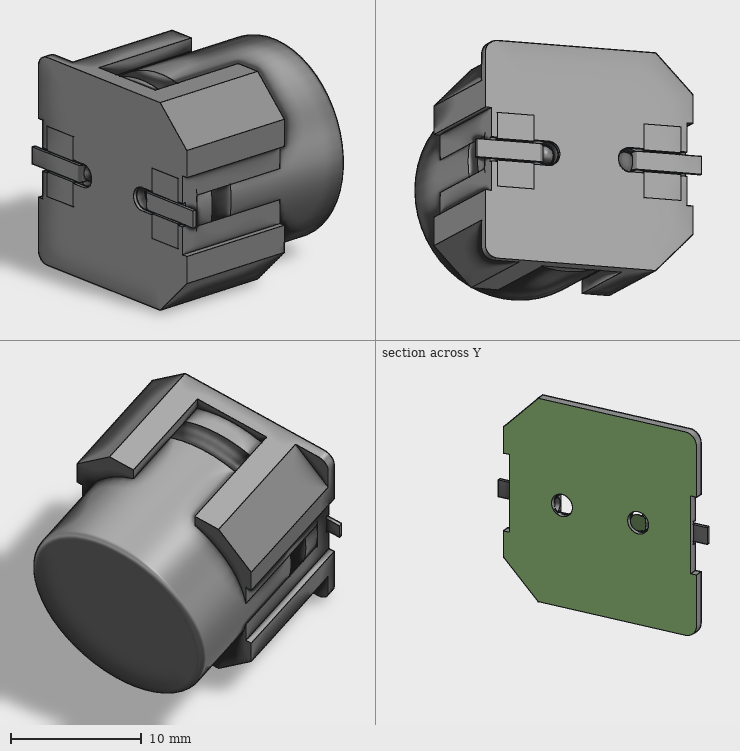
import cadquery as cq


BASE_WIDTH = 17.0
HALF_BASE = BASE_WIDTH / 2
PLATE_THICKNESS = 0.8
CORNER_RADIUS = 1.0
CORNER_CHAMFER = 3.05
FLOOR_Y = 1.5
LOW_ARM_TOP = 10.0
TALL_ARM_TOP = 11.0
WINDOW_WIDTH = 6.45
SIDE_NOTCH_DEPTH = 0.5

CAN_RADIUS = 8.0
CAN_TOP = 16.8
CAN_EDGE_RADIUS = 0.5
GROOVE_Y = 4.025
GROOVE_RADIUS = 0.975
BORE_RADIUS = 8.1

LEAD_TIP_X = 9.2
LEAD_WIDTH = 1.4
LEAD_THICKNESS = 0.3
LEAD_END_X = 3.7
BALL_X = 3.35
BALL_RADIUS = 0.8
BALL_Y = 1.1
BALL_HOLE_RADIUS = 0.9

CHANNEL_WIDTH = 1.9
PAD_INNER_X = 4.5
PAD_LENGTH = 3.0
PAD_WIDTH = 5.75
PAD_THICKNESS = 0.5
PAD_CHANNEL_WIDTH = 1.7

SIDES = (-1, 1)


def block(x_range, y_range, z_range):
    """Box between the given limits on each axis."""
    (x0, x1), (y0, y1), (z0, z1) = sorted(x_range), y_range, z_range
    return cq.Workplane("XY").box(x1 - x0, y1 - y0, z1 - z0, centered=False).translate((x0, y0, z0))


def centred(width):
    """Limits of a width centred on zero."""
    return (-width / 2, width / 2)


def rod(x, radius, y_start, y_end):
    """Cylinder along Y standing at the given x."""
    axis_start = cq.Vector(x, y_start, 0)
    return cq.Workplane(cq.Solid.makeCylinder(radius, y_end - y_start, axis_start, cq.Vector(0, 1, 0)))


def make_base():
    across = (-HALF_BASE, HALF_BASE)

    plate = block(across, (0, PLATE_THICKNESS), across)
    plate = plate.edges("|Y and <X").fillet(CORNER_RADIUS)
    plate = plate.edges("|Y and >X").chamfer(CORNER_CHAMFER)

    low_arms = block(across, (PLATE_THICKNESS, LOW_ARM_TOP), across)
    low_arms = low_arms.edges("|Y").chamfer(CORNER_CHAMFER)
    tall_arms = block((-HALF_BASE, 0), (PLATE_THICKNESS, TALL_ARM_TOP), across)
    tall_arms = tall_arms.edges("|Y and <X").chamfer(CORNER_CHAMFER)
    base = plate.union(low_arms).union(tall_arms)

    base = base.cut(rod(0, BORE_RADIUS, FLOOR_Y, TALL_ARM_TOP))
    base = base.cut(block(centred(WINDOW_WIDTH), (FLOOR_Y, TALL_ARM_TOP), across))

    for side in SIDES:
        notch_x = (side * HALF_BASE, side * (HALF_BASE - SIDE_NOTCH_DEPTH))
        base = base.cut(block(notch_x, (0, TALL_ARM_TOP), centred(WINDOW_WIDTH)))
        base = base.cut(make_channel(side))
        base = base.cut(pad_blank(side))
        base = base.cut(rod(side * BALL_X, BALL_HOLE_RADIUS, 0, BALL_Y))
    return base


def make_channel(side):
    """Round-ended groove in the underside that the lead lies in."""
    half_width = CHANNEL_WIDTH / 2
    centre_x = side * BALL_X
    open_x = side * HALF_BASE
    outline = (
        cq.Workplane("XZ")
        .moveTo(open_x, half_width)
        .lineTo(centre_x, half_width)
        .threePointArc((centre_x - side * half_width, 0), (centre_x, -half_width))
        .lineTo(open_x, -half_width)
        .close()
    )
    return outline.extrude(-LEAD_THICKNESS)


def make_can():
    """Round can with a rounded top edge and a crimp groove, turned about the Y axis."""
    edge_y = CAN_TOP - CAN_EDGE_RADIUS
    edge_x = CAN_RADIUS - CAN_EDGE_RADIUS
    half_section = (
        cq.Workplane("XY")
        .moveTo(0, FLOOR_Y)
        .lineTo(-CAN_RADIUS, FLOOR_Y)
        .lineTo(-CAN_RADIUS, GROOVE_Y - GROOVE_RADIUS)
        .radiusArc((GROOVE_RADIUS - CAN_RADIUS, GROOVE_Y), -GROOVE_RADIUS)
        .radiusArc((-CAN_RADIUS, GROOVE_Y + GROOVE_RADIUS), -GROOVE_RADIUS)
        .lineTo(-CAN_RADIUS, edge_y)
        .radiusArc((-edge_x, CAN_TOP), CAN_EDGE_RADIUS)
        .lineTo(0, CAN_TOP)
        .close()
    )
    return half_section.revolve(360, (0, 0), (0, 1))


def make_lead(side):
    """Flat strip turned up at its inner end, with a ball on the turned-up leg."""
    end_x = side * LEAD_END_X
    leg_back_x = side * (LEAD_END_X + LEAD_THICKNESS)
    tip_x = side * LEAD_TIP_X
    strip = (
        cq.Workplane("XY")
        .moveTo(tip_x, 0)
        .lineTo(leg_back_x, 0)
        .radiusArc((end_x, LEAD_THICKNESS), side * LEAD_THICKNESS)
        .lineTo(tip_x, LEAD_THICKNESS)
        .close()
        .extrude(LEAD_WIDTH / 2, both=True)
    )
    envelope = rod(side * BALL_X, BALL_RADIUS, 0, BALL_Y)
    ball = cq.Workplane("XY").sphere(BALL_RADIUS).translate((side * BALL_X, BALL_Y, 0))
    leg = block((end_x, leg_back_x), (LEAD_THICKNESS, BALL_Y), centred(LEAD_WIDTH))
    return strip.union(ball.union(leg).intersect(envelope))


def pad_blank(side):
    """Solid block filling the pad's recess."""
    pad_x = (side * PAD_INNER_X, side * (PAD_INNER_X + PAD_LENGTH))
    return block(pad_x, (0, PAD_THICKNESS), centred(PAD_WIDTH))


def make_pad(side):
    """Solder pad grooved along X for its lead."""
    groove = block((0, side * HALF_BASE), (0, LEAD_THICKNESS), centred(PAD_CHANNEL_WIDTH))
    return pad_blank(side).cut(groove)


base = make_base()
can = make_can()
leads = [make_lead(side) for side in SIDES]
pads = [make_pad(side) for side in SIDES]

result = cq.Compound.makeCompound(
    [base.val(), can.val()] + [lead.val() for lead in leads] + [pad.val() for pad in pads]
)